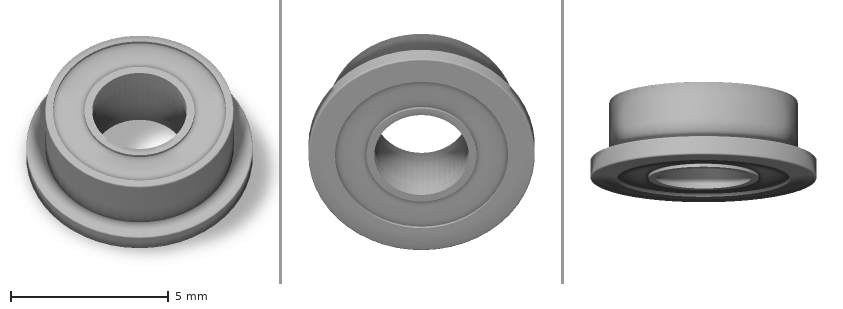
import cadquery as cq

flange_diameter = 7.2
body_diameter = 6.0
total_height = 2.5
flange_height = 0.605
bore_diameter = 3.0
inner_ring_diameter = 3.5
outer_ring_bore = 5.5
shield_recess = 0.1
edge_radius = 0.05


def disc(diameter, base, height):
    return cq.Workplane("XY").workplane(offset=base).circle(diameter / 2).extrude(height)


def shield_groove(base):
    """Annular recess between the inner and outer rings."""
    outer = disc(outer_ring_bore, base, shield_recess)
    inner = disc(inner_ring_diameter, base, shield_recess)
    return outer.cut(inner)


flange = disc(flange_diameter, 0, flange_height).edges().fillet(edge_radius)
body = disc(body_diameter, flange_height / 2, total_height - flange_height / 2)
body = body.faces(">Z").edges().fillet(edge_radius)
bearing = flange.union(body)

for groove_base in (0, total_height - shield_recess):
    bearing = bearing.cut(shield_groove(groove_base))

result = bearing.cut(disc(bore_diameter, 0, total_height))